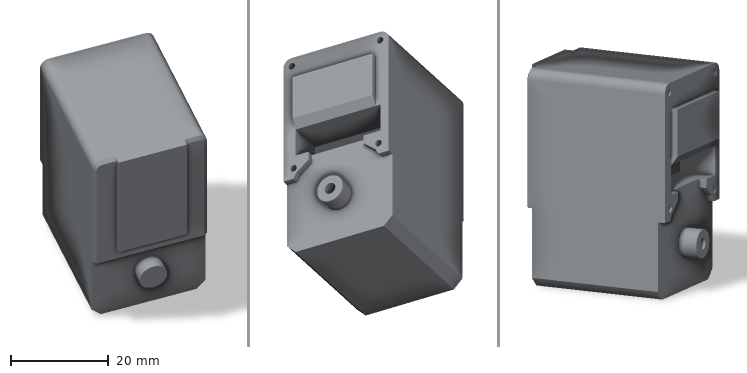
import cadquery as cq
import math

height = 45.6
width = 24.8
half_width = width / 2

body_length = 28.9
body_left = -body_length / 2
body_right = body_length / 2
bottom_chamfer = 2.0

cover_left = body_left - 1.55
cover_right = body_right + 1.4
cover_bottom = 16.6
corner_radius = 2.0

chamfer_angle = 30.0
chamfer_long = 0.87
chamfer_short = chamfer_long * math.tan(math.radians(chamfer_angle))

panel_right = cover_right + 1.05
panel_width = 14.9
panel_bottom = 19.4

notch_half_width = 6.5
notch_shoulder_z = 20.1
notch_flare = (9.25, 17.9)
notch_mouth_half_width = 10.0

connector_half_width = 9.4
connector_out = 1.4
connector_top = 40.0
connector_bend = 30.1
connector_bottom = 28.2
pocket_width = 20.0
pocket_center_y = -0.45
pocket_bottom = 22.0
pocket_depth = 8.0

screw_diameter = 1.5
screw_depth = 5.0
upper_screw_y = half_width - corner_radius
upper_screw_z = height - corner_radius
lower_screw_y = 10.0
lower_screw_z = 19.1

shaft_diameter = 6.0
shaft_z = 10.0
shaft_left = body_left - 4.0
shaft_right = body_right + 2.9
shaft_bore_diameter = 2.5
shaft_bore_depth = 5.0


def box(x_range, y_range, z_range):
    """Box between pairs of limits along each axis."""
    size = [high - low for low, high in (x_range, y_range, z_range)]
    corner = (x_range[0], y_range[0], z_range[0])
    return cq.Workplane("XY").box(*size, centered=False).translate(corner)


def end_plane(x):
    """Plane facing +X at the given x, with local axes along Y and Z."""
    return cq.Workplane("YZ", origin=(x, 0, 0))


def case_profile(x):
    """Full end outline: rounded top corners, chamfered bottom corners."""
    shoulder = height - corner_radius
    flat = half_width - bottom_chamfer
    top_flat = half_width - corner_radius
    corner_inset = corner_radius * (1 - math.sqrt(0.5))
    arc_y = half_width - corner_inset
    arc_z = height - corner_inset
    return (
        end_plane(x)
        .moveTo(-flat, 0)
        .lineTo(flat, 0)
        .lineTo(half_width, bottom_chamfer)
        .lineTo(half_width, shoulder)
        .threePointArc((arc_y, arc_z), (top_flat, height))
        .lineTo(-top_flat, height)
        .threePointArc((-arc_y, arc_z), (-half_width, shoulder))
        .lineTo(-half_width, bottom_chamfer)
        .close()
    )


def left_cover():
    """Cover on the -X end, with a flared notch open at its lower edge."""
    cover = case_profile(cover_left).extrude(body_left - cover_left)
    half_outline = [
        (notch_mouth_half_width, cover_bottom),
        notch_flare,
        (notch_half_width, notch_shoulder_z),
        (notch_half_width, pocket_bottom),
    ]
    mirrored = [(-y, z) for y, z in reversed(half_outline)]
    notch_outline = end_plane(cover_left).polyline(half_outline + mirrored).close()
    notch = notch_outline.extrude(body_left - cover_left)
    below = box((cover_left, body_left), (-half_width, half_width), (0, cover_bottom))
    return cover.cut(below).cut(notch)


def right_cover_half(side, chamfer_depth, taper):
    """Half of the +X cover on one side of y = 0, ending in a chamfered edge."""
    chamfer_start = cover_right - chamfer_depth
    slab = case_profile(body_right).extrude(chamfer_start - body_right)
    rim = case_profile(chamfer_start).extrude(chamfer_depth, taper=taper)
    y_range = sorted((0, side * half_width))
    keep = box((body_right, cover_right), y_range, (cover_bottom, height))
    return slab.union(rim).intersect(keep)


def right_panel():
    """Raised panel that runs up to the top face across the middle of the +X cover."""
    half_panel = panel_width / 2
    return box((body_right, panel_right), (-half_panel, half_panel), (panel_bottom, height))


def connector():
    """Block on the left cover whose lower face slopes back to the cover."""
    outer = cover_left - connector_out
    return (
        cq.Workplane("XZ", origin=(0, connector_half_width, 0))
        .polyline([
            (body_left, connector_top),
            (outer, connector_top),
            (outer, connector_bend),
            (cover_left, connector_bottom),
            (body_left, connector_bottom),
        ])
        .close()
        .extrude(2 * connector_half_width)
    )


def pocket():
    """Opening in the left cover below the connector."""
    y_range = (pocket_center_y - pocket_width / 2, pocket_center_y + pocket_width / 2)
    return box((cover_left, cover_left + pocket_depth), y_range, (pocket_bottom, connector_bottom))


def screw_holes():
    """Two upper and two lower blind holes in the left cover."""
    centers = [
        (side * y, z)
        for side in (-1, 1)
        for y, z in ((upper_screw_y, upper_screw_z), (lower_screw_y, lower_screw_z))
    ]
    return end_plane(cover_left).pushPoints(centers).circle(screw_diameter / 2).extrude(screw_depth)


def shaft_cylinder(diameter, x_start, x_end):
    """Cylinder on the shaft axis."""
    return end_plane(x_start).center(0, shaft_z).circle(diameter / 2).extrude(x_end - x_start)


result = (
    case_profile(body_left).extrude(body_length)
    .union(left_cover())
    .union(right_cover_half(-1, chamfer_long, chamfer_angle))
    .union(right_cover_half(1, chamfer_short, 90 - chamfer_angle))
    .union(right_panel())
    .union(connector())
    .union(shaft_cylinder(shaft_diameter, shaft_left, shaft_right))
    .clean()
    .cut(pocket())
    .cut(screw_holes())
    .cut(shaft_cylinder(shaft_bore_diameter, shaft_left, shaft_left + shaft_bore_depth))
)